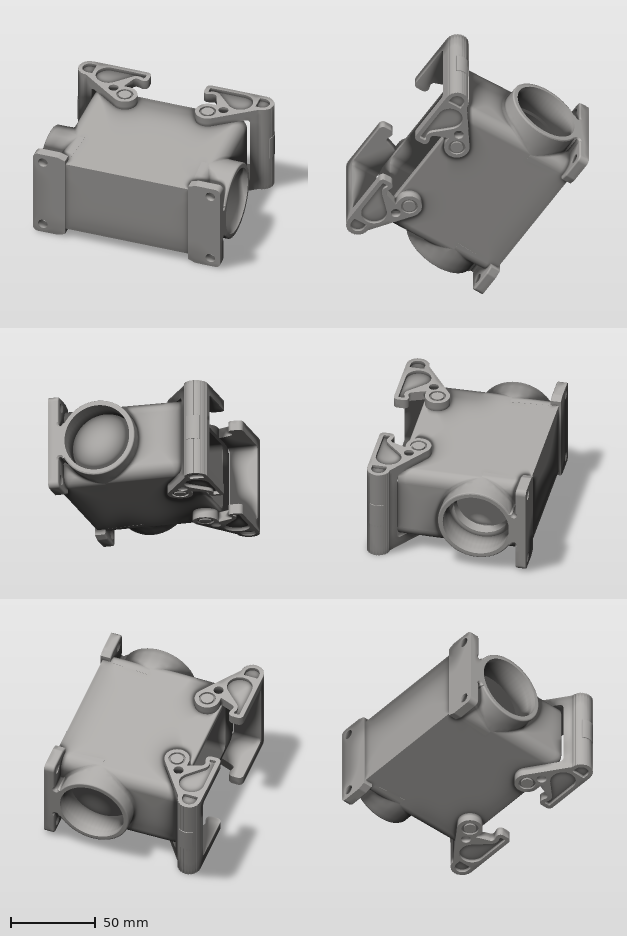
import cadquery as cq
import math

BODY_FRONT = 1.3
BODY_BACK = 80.2
BODY_HALF_X = 48.3
BODY_HALF_Z = 23.5
BODY_CORNER = 7.1
BODY_RIM = 1.0
DRAFT = 0.3
CORE_HALF_X = 39.5
CAVITY_HALF_X = 34.1
CAVITY_WALL = 3.7
CAVITY_CORNER = 3.7

PAD_HALF_X = 46.8
PAD_HALF_Z = 23.5
PAD_INNER_FRONT = 38.1
PAD_INNER_BACK = 36.5

PORT_Y = 30.2
PORT_RADIUS = 23.0
PORT_DRAFT = 1.0
PORT_END = 58.5
PORT_RIM = 0.92
PORT_ROOT = 40.5
BORE_RADIUS = 20.0
BORE_DEPTH = 17.5
ENTRY_RADIUS = 16.9
BLEND = 1.2
SEAM_TOLERANCE = 0.01

FLANGE_THICK = 6.4
FLANGE_EDGE = 1.0
FLANGE_INNER = 38.5
FLANGE_HALF_Z = 28.2
FLANGE_CORNER = 3.1
FLANGE_BEVEL_X = 4.5
FLANGE_BEVEL_Z = 1.6
FLANGE_BEVEL_ROUND = 2.8
SCREW_X = 52.4
SCREW_Z = 22.4
SCREW_RADIUS = 3.0
WEB_HALF_Z = 10.8
WEB_TOP = 10.4
NOTCH_RADIUS = 1.1
NOTCH_Y = 7.4

LEVER_WIDTH = 58.0
LEVER_HALF_Z = LEVER_WIDTH / 2
LEVER_TOP = 96.9
ARM_INNER_Z = 23.0
WINDOW_X = -49.5
WINDOW_CORNER = 2.5
GRIP_RADIUS = 7.0
GRIP_X = -54.0
GRIP_Y = LEVER_TOP - GRIP_RADIUS
PIVOT_X = -25.9
PIVOT_Y = 71.8
PIVOT_RADIUS = 7.5
PIN_RADIUS = 3.7
PIN_GROOVE_RADIUS = 5.0
PIN_GROOVE_DEPTH = 1.2
ARM_HOLE_X = -34.3
ARM_HOLE_Y = 75.9
ARM_HOLE_RADIUS = 3.0
NOSE_X = -20.0
NOSE_Y = 90.6
NOSE_RADIUS = 2.7
THROAT_X = -23.9
THROAT_Y = 86.7
THROAT_RADIUS = 2.2
FLANK_ANGLE = 159
POCKET_DEPTH = 2.2
POCKET_WALL = 2.6
POCKET_X = -41.2
POCKET_RADIUS = 7.6
POCKET_CORNER = 0.5
POCKET_TIP_ANGLE = 50
POCKET_SLOPE = 45
D_POCKET_RIGHT = -51.0
RIB_COUNT = 12
RIB_PITCH = 180 / RIB_COUNT
RIB_HEIGHT = 0.18
BADGE_HALF_Z = 7.2
BADGE_WIDTH = 8.2
BADGE_REACH = 61.3


def prism_y(half_x, half_z, y0, y1, taper=0.0):
    """Rectangular prism along +Y, centred on the Y axis."""
    plane = cq.Workplane("XZ", origin=(0, y0, 0))
    return plane.rect(2 * half_x, 2 * half_z).extrude(y0 - y1, taper=taper)


def box(x0, x1, y0, y1, z0, z1):
    return cq.Workplane("XY").box(x1 - x0, y1 - y0, z1 - z0, centered=False).translate((x0, y0, z0))


def disc_x(radius, x0, x1, y, z=0.0):
    """Cylinder along +X."""
    return cq.Workplane("YZ", origin=(x0, y, z)).circle(radius).extrude(x1 - x0)


def disc_z(radius, x, y, z0, z1):
    return cq.Workplane("XY", origin=(x, y, z0)).circle(radius).extrude(z1 - z0)


def mirrored_pair(solid):
    return solid.union(solid.mirror("YZ"))


def on_circle(cx, cy, radius, angle):
    a = math.radians(angle)
    return (cx + radius * math.cos(a), cy + radius * math.sin(a))


def make_body():
    """Drafted shell; in front of the port axis only its core remains between the pads."""
    shell = prism_y(BODY_HALF_X, BODY_HALF_Z, BODY_FRONT, BODY_BACK, DRAFT)
    shell = shell.edges("not(|X or |Z)").fillet(BODY_CORNER)
    shell = shell.faces(">Y").edges().fillet(BODY_RIM)
    span = 2 * BODY_HALF_Z
    rear = box(-BODY_HALF_X, BODY_HALF_X, PORT_Y, BODY_BACK, -span, span)
    front = box(-CORE_HALF_X, CORE_HALF_X, BODY_FRONT, PORT_Y, -span, span)
    return shell.intersect(rear.union(front))


def make_pads():
    """Rounded front corners of the body, with slightly slanted inner edges."""
    block = prism_y(PAD_HALF_X, PAD_HALF_Z, BODY_FRONT, PORT_Y).edges("|Y").fillet(BODY_CORNER)
    plan = (
        cq.Workplane("XY", origin=(0, 0, -PAD_HALF_Z))
        .polyline([
            (-PAD_HALF_X, BODY_FRONT),
            (-PAD_INNER_FRONT, BODY_FRONT),
            (-PAD_INNER_FRONT, FLANGE_THICK),
            (-PAD_INNER_BACK, PORT_Y),
            (-PAD_HALF_X, PORT_Y),
        ])
        .close()
        .extrude(2 * PAD_HALF_Z)
    )
    return block.intersect(mirrored_pair(plan))


def make_port():
    """Left port barrel, widening toward the body, with a rounded rim."""
    plane = cq.Workplane("YZ", origin=(-PORT_END, PORT_Y, 0))
    barrel = plane.circle(PORT_RADIUS).extrude(PORT_END - PORT_ROOT, taper=-PORT_DRAFT)
    return barrel.faces("<X").edges().fillet(PORT_RIM)


def is_port_seam(edge, side):
    """True for the edges where a port meets the body, behind (1) or in front (-1) of its axis.

    They are the edges away from the rim that lie on the port's cone.
    """
    slope = math.tan(math.radians(PORT_DRAFT))
    for position in (0, 0.3, 0.7, 1):
        point = edge.positionAt(position)
        radius = PORT_RADIUS + (PORT_END - abs(point.x)) * slope
        if abs(math.hypot(point.y - PORT_Y, point.z) - radius) > SEAM_TOLERANCE:
            return False
    centre = edge.Center()
    in_body = PORT_ROOT < abs(centre.x) < BODY_HALF_X
    return in_body and side * (centre.y - PORT_Y) > SEAM_TOLERANCE


def make_flange():
    """Left mounting flange with its web, notches and screw holes."""
    bevel_x = -FLANGE_INNER - FLANGE_BEVEL_X
    bevel_z = FLANGE_HALF_Z - FLANGE_BEVEL_Z
    plate = (
        cq.Workplane("XZ")
        .polyline([
            (-PORT_END, -FLANGE_HALF_Z),
            (bevel_x, -FLANGE_HALF_Z),
            (-FLANGE_INNER, -bevel_z),
            (-FLANGE_INNER, bevel_z),
            (bevel_x, FLANGE_HALF_Z),
            (-PORT_END, FLANGE_HALF_Z),
        ])
        .close()
        .extrude(-FLANGE_THICK)
        .edges("|Y and <X")
        .fillet(FLANGE_CORNER)
        .edges("|Y")
        .edges("not(<X or >X)")
        .fillet(FLANGE_BEVEL_ROUND)
    )
    plate = plate.faces(">Y").edges("not(>X)").fillet(FLANGE_EDGE)
    web = box(-PORT_END, -PAD_HALF_X, FLANGE_THICK / 2, WEB_TOP, -WEB_HALF_Z, WEB_HALF_Z)
    plate = plate.union(web)
    for side in (-1, 1):
        z = side * WEB_HALF_Z
        notch = disc_x(NOTCH_RADIUS, -PORT_END, -PAD_HALF_X, NOTCH_Y, z)
        rim = (
            cq.Workplane("YZ", origin=(-PORT_END, NOTCH_Y, z))
            .circle(NOTCH_RADIUS + FLANGE_EDGE)
            .workplane(offset=FLANGE_EDGE)
            .circle(NOTCH_RADIUS)
            .loft()
        )
        screw = cq.Workplane("XZ").center(-SCREW_X, side * SCREW_Z)
        screw = screw.circle(SCREW_RADIUS).extrude(-FLANGE_THICK)
        plate = plate.cut(notch).cut(rim).cut(screw)
    return plate


def lever_outline():
    """Side profile of the left lever: grip, hook nose, throat and pivot boss."""
    rise = NOSE_Y - THROAT_Y
    run = NOSE_X - THROAT_X
    bridge = math.degrees(
        math.atan2(rise, run) + math.acos((NOSE_RADIUS + THROAT_RADIUS) / math.hypot(run, rise))
    )
    heel_y = PIVOT_Y + PIVOT_RADIUS
    flank_x, flank_y = on_circle(THROAT_X, THROAT_Y, THROAT_RADIUS, FLANK_ANGLE)
    heel_x = flank_x + (heel_y - flank_y) / math.tan(math.radians(FLANK_ANGLE + 90))
    grip_bottom = GRIP_Y - GRIP_RADIUS
    reach = math.hypot(GRIP_X - PIVOT_X, grip_bottom - PIVOT_Y)
    toward_grip = math.atan2(grip_bottom - PIVOT_Y, GRIP_X - PIVOT_X)
    under = math.degrees(toward_grip + math.acos(PIVOT_RADIUS / reach))
    nose_right = NOSE_X + NOSE_RADIUS
    return (
        cq.Workplane("XY", origin=(0, 0, -LEVER_HALF_Z))
        .moveTo(GRIP_X, LEVER_TOP)
        .lineTo(NOSE_X, LEVER_TOP)
        .radiusArc((nose_right, LEVER_TOP - NOSE_RADIUS), NOSE_RADIUS)
        .lineTo(nose_right, NOSE_Y)
        .threePointArc(
            on_circle(NOSE_X, NOSE_Y, NOSE_RADIUS, (bridge - 180) / 2),
            on_circle(NOSE_X, NOSE_Y, NOSE_RADIUS, bridge - 180),
        )
        .lineTo(*on_circle(THROAT_X, THROAT_Y, THROAT_RADIUS, bridge))
        .threePointArc(
            on_circle(THROAT_X, THROAT_Y, THROAT_RADIUS, (bridge + FLANK_ANGLE) / 2),
            (flank_x, flank_y),
        )
        .lineTo(heel_x, heel_y)
        .lineTo(PIVOT_X, heel_y)
        .threePointArc(
            on_circle(PIVOT_X, PIVOT_Y, PIVOT_RADIUS, 0),
            on_circle(PIVOT_X, PIVOT_Y, PIVOT_RADIUS, under),
        )
        .lineTo(GRIP_X, grip_bottom)
        .threePointArc((GRIP_X - GRIP_RADIUS, GRIP_Y), (GRIP_X, LEVER_TOP))
        .close()
        .extrude(2 * LEVER_HALF_Z)
    )


def main_pocket():
    """Teardrop recess reaching into the hook."""
    top = LEVER_TOP - POCKET_WALL
    centre_y = top - POCKET_RADIUS
    right = NOSE_X + NOSE_RADIUS - POCKET_WALL
    wall_radius = THROAT_RADIUS + POCKET_WALL
    tip = on_circle(THROAT_X, THROAT_Y, wall_radius, POCKET_TIP_ANGLE)
    return (
        cq.Workplane("XY", origin=(0, 0, LEVER_HALF_Z - POCKET_DEPTH))
        .moveTo(POCKET_X, top)
        .lineTo(right - POCKET_CORNER, top)
        .radiusArc((right, top - POCKET_CORNER), POCKET_CORNER)
        .lineTo(right, tip[1] + POCKET_CORNER)
        .lineTo(*tip)
        .threePointArc(
            on_circle(THROAT_X, THROAT_Y, wall_radius, 90),
            on_circle(THROAT_X, THROAT_Y, wall_radius, 90 + POCKET_SLOPE),
        )
        .lineTo(*on_circle(POCKET_X, centre_y, POCKET_RADIUS, -POCKET_SLOPE))
        .threePointArc(
            on_circle(POCKET_X, centre_y, POCKET_RADIUS, 180),
            (POCKET_X, top),
        )
        .close()
        .extrude(POCKET_DEPTH)
    )


def grip_pocket():
    """D-shaped recess in the end of the grip."""
    radius = GRIP_RADIUS - POCKET_WALL
    pocket = (
        cq.Workplane("XY", origin=(0, 0, LEVER_HALF_Z - POCKET_DEPTH))
        .moveTo(GRIP_X, GRIP_Y - radius)
        .lineTo(D_POCKET_RIGHT, GRIP_Y - radius)
        .lineTo(D_POCKET_RIGHT, GRIP_Y + radius)
        .lineTo(GRIP_X, GRIP_Y + radius)
        .threePointArc((GRIP_X - radius, GRIP_Y), (GRIP_X, GRIP_Y - radius))
        .close()
        .extrude(POCKET_DEPTH)
    )
    return pocket.edges("|Z and >X").fillet(POCKET_CORNER)


def rib_grooves():
    """Shallow grooves around the outside of the grip, leaving the ribs between them."""
    inner = GRIP_RADIUS - RIB_HEIGHT
    ring = disc_z(2 * GRIP_RADIUS, GRIP_X, GRIP_Y, -LEVER_HALF_Z, LEVER_HALF_Z)
    ring = ring.cut(disc_z(inner, GRIP_X, GRIP_Y, -LEVER_HALF_Z, LEVER_HALF_Z))
    sectors = cq.Workplane("XY", origin=(GRIP_X, GRIP_Y, -LEVER_HALF_Z))
    reach = 1.5 * GRIP_RADIUS
    for i in range(RIB_COUNT):
        start = 90 + i * RIB_PITCH + RIB_PITCH / 4
        corners = [on_circle(0, 0, reach, start), on_circle(0, 0, reach, start + RIB_PITCH / 2)]
        sectors = sectors.polyline([(0, 0)] + corners).close()
    return ring.intersect(sectors.extrude(2 * LEVER_HALF_Z))


def badge():
    """Raised plain pad in the middle of the grip."""
    radius = BADGE_REACH + GRIP_X
    pad = disc_z(radius, GRIP_X, GRIP_Y, -BADGE_HALF_Z, BADGE_HALF_Z)
    half = BADGE_WIDTH / 2
    return pad.intersect(
        box(-BADGE_REACH, GRIP_X, GRIP_Y - half, GRIP_Y + half, -BADGE_HALF_Z, BADGE_HALF_Z)
    )


def make_lever():
    lever = lever_outline()
    window = box(WINDOW_X, 0, 0, LEVER_TOP, -ARM_INNER_Z, ARM_INNER_Z)
    lever = lever.cut(window.edges("|Y and <X").fillet(WINDOW_CORNER))
    lever = lever.cut(disc_z(ARM_HOLE_RADIUS, ARM_HOLE_X, ARM_HOLE_Y, -LEVER_HALF_Z, LEVER_HALF_Z))
    lever = lever.cut(rib_grooves()).union(badge())

    groove_z = LEVER_HALF_Z - PIN_GROOVE_DEPTH
    groove = disc_z(PIN_GROOVE_RADIUS, PIVOT_X, PIVOT_Y, groove_z, LEVER_HALF_Z)
    groove = groove.cut(disc_z(PIN_RADIUS, PIVOT_X, PIVOT_Y, groove_z, LEVER_HALF_Z))
    for recess in (main_pocket(), grip_pocket(), groove):
        lever = lever.cut(recess).cut(recess.mirror("XY"))
    return lever


def make_cavity():
    """Interior of the housing, open at the mating face."""
    half_z = BODY_HALF_Z - CAVITY_WALL
    cavity = prism_y(CAVITY_HALF_X, half_z, BODY_FRONT + CAVITY_WALL, BODY_BACK)
    return cavity.edges("|Y").fillet(CAVITY_CORNER)


housing = make_body().union(make_pads())
housing = housing.union(mirrored_pair(make_port()))
for side in (-1, 1):
    housing = housing.edges().filter(lambda edge: is_port_seam(edge, side)).fillet(BLEND)
housing = housing.union(mirrored_pair(make_flange()))
housing = housing.cut(make_cavity())

bore = disc_x(BORE_RADIUS, -PORT_END, BORE_DEPTH - PORT_END, PORT_Y)
entry = disc_x(ENTRY_RADIUS, -PORT_END, -CAVITY_HALF_X, PORT_Y)
housing = housing.cut(mirrored_pair(bore)).cut(entry)

result = housing.union(mirrored_pair(make_lever()))